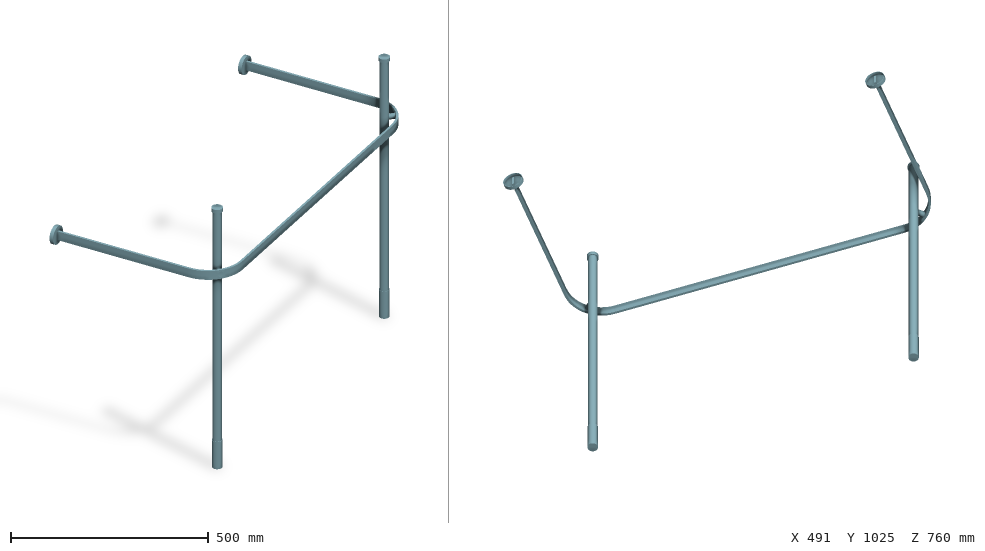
import cadquery as cq
import math

overall_reach = 491.0
overall_width = 1025.0
post_height = 760.0
rail_height = 583.0

flange_diameter = 51.0
flange_thickness = 10.0
flange_recess_diameter = 49.0
flange_recess_depth = 9.0
flange_y = (overall_width - flange_diameter) / 2

bar_width = 26.0
bar_thickness = 6.0
bend_outer_radius = 100.0
rail_start_x = 2.0
rail_outer_y = flange_y + bar_thickness / 2
bend_mid_radius = bend_outer_radius - bar_thickness / 2
bend_centre_x = overall_reach - bend_outer_radius
bend_centre_y = rail_outer_y - bend_outer_radius

tube_diameter = 25.0
cap_diameter = 30.0
cap_height = 10.0
foot_diameter = 27.0
foot_height = 80.0
post_x = 441.0
post_y = 431.0

peg_diameter = 15.0
peg_angle = 45.0
peg_direction_x = math.cos(math.radians(peg_angle))
peg_direction_y = math.sin(math.radians(peg_angle))
peg_blank_length = bend_outer_radius


def cylinder(diameter, height, bottom=0.0):
    """Upright cylinder on the Z axis."""
    return cq.Workplane("XY").workplane(offset=bottom).circle(diameter / 2).extrude(height)


def u_bar(offset):
    """Solid U outline, offset outwards from the centre line of the bent bar."""
    half_width = flange_y + offset
    reach = overall_reach - bar_thickness / 2 + offset
    return (
        cq.Workplane("XY")
        .workplane(offset=rail_height - bar_width / 2)
        .moveTo(rail_start_x, -half_width)
        .lineTo(reach, -half_width)
        .lineTo(reach, half_width)
        .lineTo(rail_start_x, half_width)
        .close()
        .extrude(bar_width)
        .edges("|Z and >X")
        .fillet(bend_mid_radius + offset)
    )


def make_peg(side):
    """Slanted peg from the post's surface, trimmed flush with the rail's outer face; side is +1 or -1 in Y."""
    direction = cq.Vector(peg_direction_x, side * peg_direction_y, 0)
    start = cq.Vector(post_x, side * post_y, rail_height)
    peg = cq.Workplane(cq.Solid.makeCylinder(peg_diameter / 2, peg_blank_length, start, direction))
    peg = peg.intersect(u_bar(bar_thickness / 2))
    return peg.cut(cylinder(tube_diameter, post_height).translate((post_x, side * post_y, 0)))


def make_rail(pegs):
    """Bent flat bar with a matching hole for each peg."""
    rail = u_bar(bar_thickness / 2).cut(u_bar(-bar_thickness / 2))
    for peg in pegs:
        rail = rail.cut(peg)
    return rail


def make_flange(side):
    """Recessed wall disc with a slot fitting the end of the bar."""
    flange = (
        cq.Workplane("YZ")
        .circle(flange_diameter / 2)
        .extrude(flange_thickness)
    )
    recess = (
        cq.Workplane("YZ")
        .circle(flange_recess_diameter / 2)
        .extrude(flange_recess_depth)
    )
    slot = cq.Workplane("YZ").rect(bar_thickness, bar_width).extrude(flange_thickness)
    return flange.cut(recess).cut(slot).translate((0, side * flange_y, rail_height))


def make_post(side):
    """Round post with its cap and foot."""
    tube = cylinder(tube_diameter, post_height)
    cap = cylinder(cap_diameter, cap_height, post_height - cap_height)
    foot = cylinder(foot_diameter, foot_height)
    return tube.union(cap).union(foot).translate((post_x, side * post_y, 0))


sides = (-1, 1)
pegs = [make_peg(side) for side in sides]
rail = make_rail(pegs)
flanges = [make_flange(side) for side in sides]
posts = [make_post(side) for side in sides]

bodies = [rail, *flanges, *posts, *pegs]
result = cq.Compound.makeCompound([body.val() for body in bodies])